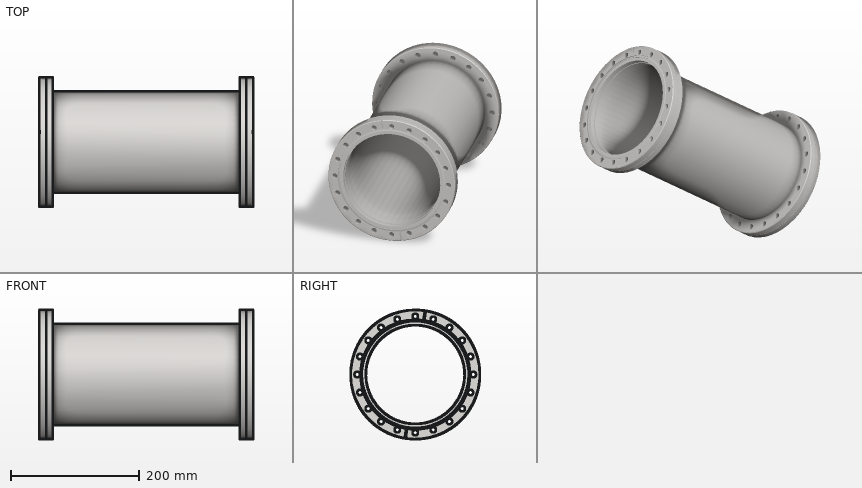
import cadquery as cq

total_length = 334.0
tube_outer_diameter = 159.0
bore_diameter = 153.0
flange_diameter = 202.4
flange_thickness = 22.0
rim_chamfer = 1.0
rim_groove_width = 1.0
rim_groove_depth = 0.5
recess_diameter = 171.4
knife_edge_diameter = 166.0
recess_depth = 1.3
knife_edge_depth = 0.6
mouth_diameter = 155.0
mouth_depth = 10.0
bolt_count = 20
bolt_circle_diameter = 181.1
bolt_hole_diameter = 8.4
slot_width = 2.2
slot_depth = 1.2
bolt_pitch_angle = 360.0 / bolt_count
slot_angles = [bolt_pitch_angle / 2, bolt_pitch_angle / 2 + 180]

bore_radius = bore_diameter / 2
flange_radius = flange_diameter / 2
recess_radius = recess_diameter / 2
end_x = -total_length / 2


def turned_body():
    """Tube and both flanges as one body revolved about X, before drilling."""
    groove_start = (flange_thickness - rim_groove_width) / 2
    groove_end = groove_start + rim_groove_width
    groove_radius = flange_radius - rim_groove_depth
    profile = [
        (flange_thickness, tube_outer_diameter / 2),
        (flange_thickness, flange_radius - rim_chamfer),
        (flange_thickness - rim_chamfer, flange_radius),
        (groove_end, flange_radius),
        (groove_end, groove_radius),
        (groove_start, groove_radius),
        (groove_start, flange_radius),
        (rim_chamfer, flange_radius),
        (0, flange_radius - rim_chamfer),
        (0, recess_radius),
        (recess_depth, recess_radius),
        (knife_edge_depth, knife_edge_diameter / 2),
        (recess_depth, knife_edge_diameter / 2),
        (recess_depth, mouth_diameter / 2),
        (mouth_depth, mouth_diameter / 2),
        (mouth_depth, bore_radius),
    ]
    near_end = [(end_x + depth, radius) for depth, radius in profile]
    far_end = [(-x, radius) for x, radius in reversed(near_end)]
    return cq.Workplane("XZ").polyline(near_end + far_end).close().revolve(360, (0, 0, 0), (1, 0, 0))


def bolt_holes():
    """Drills through both flanges on the bolt circle, the first one on +Z."""
    return (
        cq.Workplane("YZ", origin=(end_x, 0, 0))
        .polarArray(bolt_circle_diameter / 2, 90, 360, bolt_count)
        .circle(bolt_hole_diameter / 2)
        .extrude(total_length)
    )


def leak_check_slot(angle):
    """Radial slot in the end face, turned by angle from +Z towards +Y."""
    slot_length = flange_radius - recess_radius
    return (
        cq.Workplane("XY")
        .box(slot_depth, slot_width, slot_length, centered=(False, True, False))
        .translate((end_x, 0, recess_radius))
        .rotate((0, 0, 0), (1, 0, 0), -angle)
    )


result = turned_body().cut(bolt_holes())
for slot_angle in slot_angles:
    slot = leak_check_slot(slot_angle)
    result = result.cut(slot).cut(slot.mirror("YZ"))